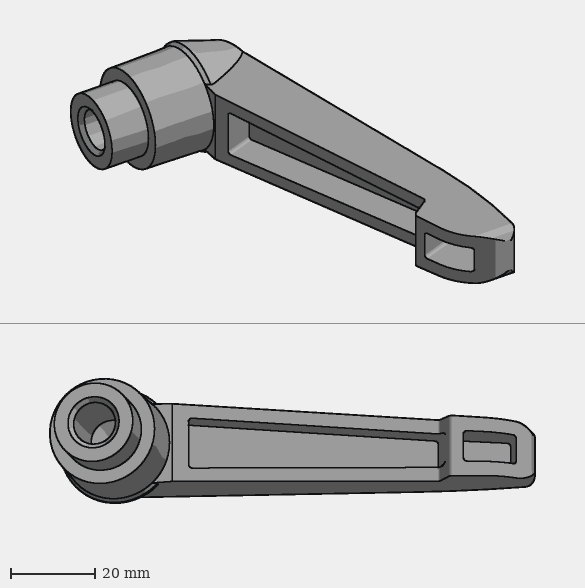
import cadquery as cq
import math


stud_radius = 19.0 / 2
stud_length = 10.1
sleeve_end_radius = 12.7
sleeve_radius = 13.0
sleeve_top = 26.1
band_radius = 27.5 / 2
band_bottom = 27.2
band_top = 28.1
head_top_radius = 8.9
head_top = 44.6

bore_radius = 10.1 / 2
bore_mouth_radius = 6.2
bore_depth = 21.8
drill_tip_half_angle = math.radians(59)

screw_radius = 6.6
screw_rim_y = 41.5
screw_crown_radius = 3.5
screw_crown_y = 43.2
screw_dome_mid = (5.2, 42.6)

top_angle = math.radians(15)
under_angle = math.radians(20)
top_edge_x = -11.0
top_edge_y = 37.0
lever_top = 61.1
tip_x = 108.8 - band_radius
tip_y = 58.8
tip_round_start_x = 92.3
under_start_x = 13.7
notch_x = 74.0
notch_bottom = (77.8, 42.6)
nose_curve_x = 85.2
nose_curve_mid = (91.8, 50.2)
notch_root_round = 0.9
notch_lip_round = 1.3

half_width_at_axis = 9.9
half_width_slope = 0.033
tip_corner_radius = 3.0

pocket_corner_radius = 0.9
grip_pocket_x = (17.4, 74.8)
grip_pocket_half_widths = (6.1, 4.0)
grip_pocket_depth = 7.9
nose_pocket_x = (80.7, 93.0)
nose_pocket_half_widths = (3.7, 3.5)
nose_pocket_depth = 11.7
pocket_overrun = 10.9


def top_y(x):
    """Height of the straight, sloping top face."""
    return top_edge_y + (x - top_edge_x) * math.tan(top_angle)


def under_y(x):
    """Height of the underside between hub and notch."""
    return sleeve_top + (x - under_start_x) * math.tan(under_angle)


def nose_y(x):
    """Height of the flat underside of the nose."""
    return notch_bottom[1] + (x - notch_bottom[0]) * math.tan(under_angle)


def half_width(x):
    return half_width_at_axis - half_width_slope * x


def revolve_about_y(sketch):
    return sketch.close().revolve(360, (0, 0, 0), (0, 1, 0))


def make_hub():
    body = revolve_about_y(
        cq.Workplane("XY")
        .lineTo(stud_radius, 0)
        .lineTo(stud_radius, stud_length)
        .lineTo(sleeve_end_radius, stud_length)
        .lineTo(sleeve_radius, sleeve_top)
        .lineTo(band_radius, band_bottom)
        .lineTo(band_radius, band_top)
        .lineTo(head_top_radius, head_top)
        .lineTo(0, head_top)
    )
    reach = 2 * band_radius
    above_top_face = (
        cq.Workplane("XY")
        .moveTo(-reach, top_y(-reach))
        .lineTo(reach, top_y(reach))
        .lineTo(reach, 2 * head_top)
        .lineTo(-reach, 2 * head_top)
        .close()
        .extrude(reach, both=True)
    )
    return body.cut(above_top_face)


def make_screw_head():
    return revolve_about_y(
        cq.Workplane("XY")
        .moveTo(0, sleeve_top)
        .lineTo(screw_radius, sleeve_top)
        .lineTo(screw_radius, screw_rim_y)
        .threePointArc(screw_dome_mid, (screw_crown_radius, screw_crown_y))
        .lineTo(0, screw_crown_y)
    )


def make_bore():
    mouth_depth = bore_mouth_radius - bore_radius
    tip_length = bore_radius / math.tan(drill_tip_half_angle)
    return revolve_about_y(
        cq.Workplane("XY")
        .lineTo(bore_mouth_radius, 0)
        .lineTo(bore_radius, mouth_depth)
        .lineTo(bore_radius, bore_depth)
        .lineTo(0, bore_depth + tip_length)
    )


def make_lever():
    meet_x = top_edge_x + (lever_top - top_edge_y) / math.tan(top_angle)
    tangent_length = tip_round_start_x - meet_x
    arc_start_x = meet_x - tangent_length * math.cos(top_angle)
    profile = (
        cq.Workplane("XY")
        .moveTo(0, sleeve_top)
        .lineTo(0, top_y(0))
        .lineTo(arc_start_x, top_y(arc_start_x))
        .tangentArcPoint((tip_round_start_x, lever_top), relative=False)
        .tangentArcPoint((tip_x, tip_y), relative=False)
        .threePointArc(nose_curve_mid, (nose_curve_x, nose_y(nose_curve_x)))
        .lineTo(*notch_bottom)
        .lineTo(notch_x, under_y(notch_x))
        .lineTo(under_start_x, sleeve_top)
        .close()
        .extrude(band_radius, both=True)
    )
    notch_root = cq.NearestToPointSelector((notch_x, under_y(notch_x), 0))
    profile = profile.edges(notch_root).fillet(notch_root_round)
    notch_lip = cq.NearestToPointSelector((*notch_bottom, 0))
    profile = profile.edges(notch_lip).fillet(notch_lip_round)
    plan = (
        cq.Workplane("XZ")
        .moveTo(0, -half_width(0))
        .lineTo(tip_x, -half_width(tip_x))
        .lineTo(tip_x, half_width(tip_x))
        .lineTo(0, half_width(0))
        .close()
        .extrude(-lever_top)
        .edges("|Y and >X")
        .fillet(tip_corner_radius)
    )
    return profile.intersect(plan)


def make_pocket(x_range, mouth_y, half_widths, depth):
    """Tapering pocket sunk square to the underside line mouth_y."""
    start_x, end_x = x_range
    length = (end_x - start_x) / math.cos(under_angle)
    start_half, end_half = half_widths
    underside = cq.Plane(
        origin=(start_x, mouth_y(start_x), 0),
        xDir=(math.cos(under_angle), math.sin(under_angle), 0),
        normal=(-math.sin(under_angle), math.cos(under_angle), 0),
    )
    return (
        cq.Workplane(underside)
        .workplane(offset=-pocket_overrun)
        .moveTo(0, -start_half)
        .lineTo(length, -end_half)
        .lineTo(length, end_half)
        .lineTo(0, start_half)
        .close()
        .extrude(depth + pocket_overrun)
        .edges(cq.ParallelDirSelector(underside.zDir))
        .fillet(pocket_corner_radius)
    )


lever = make_lever()
lever = lever.cut(make_pocket(grip_pocket_x, under_y, grip_pocket_half_widths, grip_pocket_depth))
lever = lever.cut(make_pocket(nose_pocket_x, nose_y, nose_pocket_half_widths, nose_pocket_depth))

result = make_hub().union(lever).union(make_screw_head()).cut(make_bore())